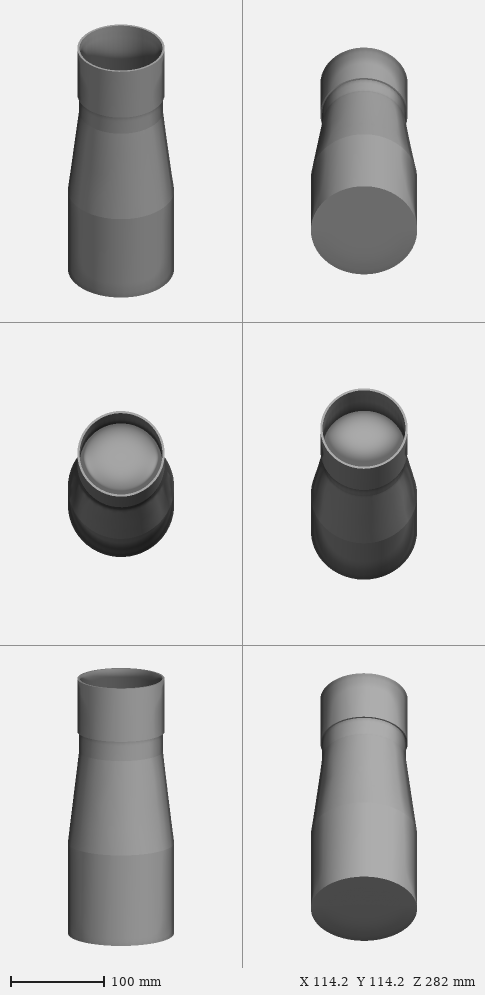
import cadquery as cq

total_height = 282
body_height = 100.0
neck_bottom = 201.5
socket_bottom = 223.3

body_diameter = 114.2
neck_diameter = 90.0
socket_diameter = 94.0
bore_diameter = 89.0

floor_step = 2.3
bore_depth = total_height - socket_bottom - floor_step

body_radius = body_diameter / 2
neck_radius = neck_diameter / 2
socket_radius = socket_diameter / 2

outer_profile = (
    cq.Workplane("XZ")
    .lineTo(body_radius, 0)
    .lineTo(body_radius, body_height)
    .lineTo(neck_radius, neck_bottom)
    .lineTo(neck_radius, socket_bottom)
    .lineTo(socket_radius, socket_bottom)
    .lineTo(socket_radius, total_height)
    .lineTo(0, total_height)
    .close()
)
reducer = outer_profile.revolve(360, (0, 0), (0, 1))

result = reducer.faces(">Z").workplane().hole(bore_diameter, bore_depth)